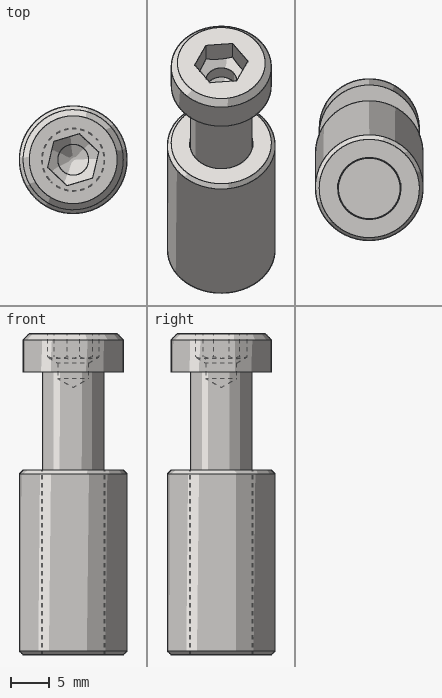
import cadquery as cq
import math

overall_height = 41.69

sleeve_diameter = 14.0
sleeve_height = 24.0
sleeve_chamfer = 0.5
bore_diameter = 8.2

shank_diameter = 8.0
head_diameter = 13.0
head_height = 5.0
head_chamfer = 0.8
head_seat_z = overall_height - head_height

socket_across_flats = 6.0
socket_sides = 6
socket_corner_diameter = socket_across_flats / math.cos(math.pi / socket_sides)
socket_corner_depth = 3.0
socket_turn = 16.7
pilot_diameter = 4.0
pilot_length = 2.0
cone_slope_angle = 30.0
drill_slope = math.tan(math.radians(cone_slope_angle))


def make_sleeve():
    body = cq.Workplane("XY").circle(sleeve_diameter / 2).extrude(sleeve_height)
    body = body.faces("<Z or >Z").chamfer(sleeve_chamfer)
    bore = cq.Workplane("XY").circle(bore_diameter / 2).extrude(sleeve_height)
    return body.cut(bore)


def make_socket():
    """Hexagonal recess, limited below by the drill shape of the pilot hole."""
    corner_radius = socket_corner_diameter / 2
    pilot_radius = pilot_diameter / 2
    corner_z = overall_height - socket_corner_depth
    pilot_top_z = corner_z - (corner_radius - pilot_radius) * drill_slope
    pilot_floor_z = pilot_top_z - pilot_length
    tip_z = pilot_floor_z - pilot_radius * drill_slope

    drill = (
        cq.Workplane("XZ")
        .moveTo(0, tip_z)
        .lineTo(pilot_radius, pilot_floor_z)
        .lineTo(pilot_radius, pilot_top_z)
        .lineTo(corner_radius, corner_z)
        .lineTo(corner_radius, overall_height)
        .lineTo(0, overall_height)
        .close()
        .revolve(360, (0, 0, 0), (0, 1, 0))
    )
    hexagon = (
        cq.Workplane("XY", origin=(0, 0, tip_z))
        .polygon(socket_sides, socket_corner_diameter)
        .extrude(overall_height - tip_z)
        .rotate((0, 0, 0), (0, 0, 1), socket_turn)
    )
    return hexagon.intersect(drill)


def make_screw():
    shank = cq.Workplane("XY").circle(shank_diameter / 2).extrude(head_seat_z)
    head = (
        cq.Workplane("XY", origin=(0, 0, head_seat_z))
        .circle(head_diameter / 2)
        .extrude(head_height)
        .faces(">Z")
        .chamfer(head_chamfer)
    )
    return shank.union(head).cut(make_socket())


sleeve = make_sleeve()
screw = make_screw()

result = cq.Compound.makeCompound([sleeve.solids().val(), screw.solids().val()])